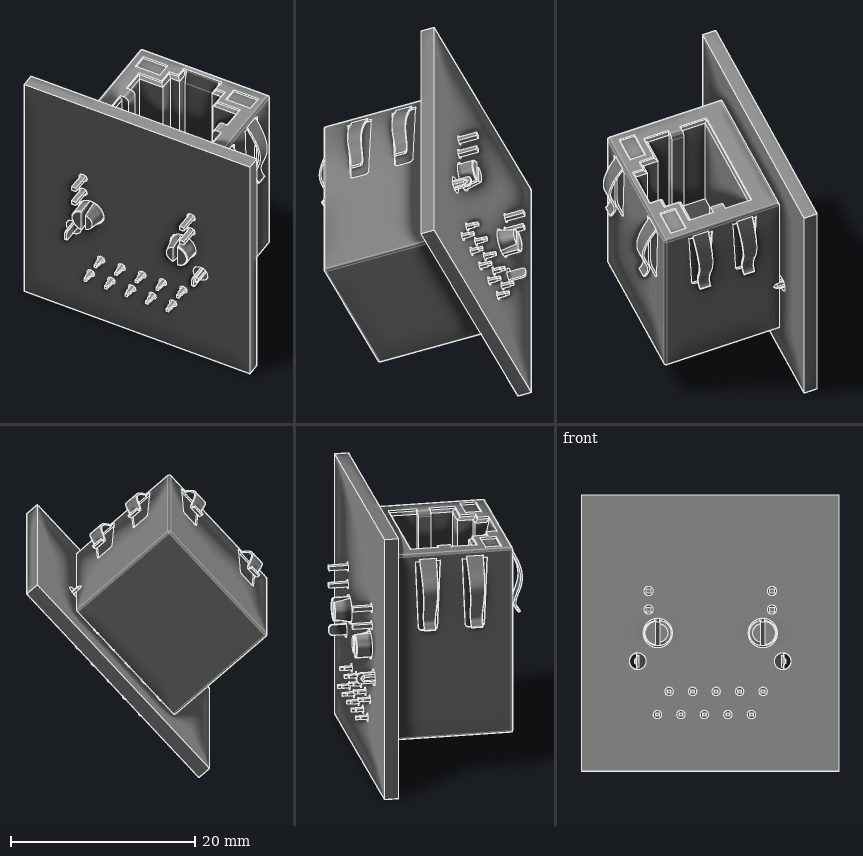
import cadquery as cq


BOARD_WIDTH = 28.0
BOARD_HEIGHT = 30.0
BOARD_THICKNESS = 1.55

BOARD_GAP = 0.3
SHELL_WIDTH = 16.0
SHELL_DEPTH = 13.55
SHELL_TOP = 10.85
SHELL_BOTTOM = -10.47
SHELL_EDGE_RADIUS = 0.25
SHEET_THICKNESS = 0.25
SHELL_FRONT = BOARD_THICKNESS + BOARD_GAP
SHELL_BACK = SHELL_FRONT + SHELL_DEPTH
SHELL_SIDE = SHELL_WIDTH / 2

CAVITY_DEPTH = 13.5
CAVITY_HALF_WIDTH = 6.0
SHOULDER_HALF_WIDTH = 3.12
NOTCH_HALF_WIDTH = 2.0
CAVITY_FRONT = 4.68
CAVITY_BACK = 11.45
SHOULDER_BACK = 13.2
NOTCH_BACK = 14.43
WALL_LEAD_IN = 0.25
STEP_LEAD_IN = 0.33
LEAD_IN_HEIGHT = 0.3
NOTCH_RAMP_HEIGHT = 1.5

RIB_FRONT = 7.53
RIB_WIDTH = 1.4
RIB_HALF_GAP = 5.2
RIB_ROUND = 0.57

WINDOW_X = 5.6
WINDOW_FRONT = 12.55
WINDOW_WIDTH = 3.03
WINDOW_DEPTH = 1.77

SIDE_FINGER_YS = (6.0, 11.2)
BACK_FINGER_X = 4.62
FINGER_THICKNESS = 0.2
FINGER_ROOT_Z = 10.1
FINGER_TIP_Z = 2.43
FINGER_ROOT_WIDTH = 1.85
FINGER_TIP_WIDTH = 1.2
FINGER_PATH = [
    (-0.18, 10.32),
    (1.2, 7.75),
    (1.45, 6.33),
    (1.25, 5.25),
    (0.75, 3.55),
    (1.25, FINGER_TIP_Z),
]
SLOT_TOP_Z = 9.95
SLOT_BOTTOM_Z = 2.05
SLOT_TOP_WIDTH = 2.75
SLOT_BOTTOM_WIDTH = 2.1
SLOT_CORNER_RADIUS = 0.42

LED_PIN_X = 6.7
LED_PIN_ZS = (2.55, 4.55)
LED_PIN_WIDTH = 0.55
LED_PIN_HEIGHT = 0.48
LED_PIN_REACH = 2.1
LED_HOLE_DIAMETER = 1.0

PIN_COUNT_PER_ROW = 5
PIN_PITCH = 2.55
PIN_STAGGER = PIN_PITCH / 2
UPPER_ROW_Z = -6.33
LOWER_ROW_Z = -8.85
PIN_WIDTH = 0.45
PIN_TIP_WIDTH = 0.3
PIN_HEIGHT = 0.33
PIN_SHOULDER_REACH = 0.75
PIN_SHOULDER_LENGTH = 0.12
PIN_REACH = 1.3
PIN_HOLE_DIAMETER = 0.9

POST_X = 5.7
POST_RADIUS = 1.35
POST_HALF_SHIFT = 0.12
POST_SLOT_WIDTH = 0.5
POST_REACH = 1.75
POST_TIP_RADIUS = 1.0
POST_TIP_CHAMFER = 0.1
POST_HOLE_DIAMETER = 3.18

TAB_Z = -3.05
TAB_HEIGHT = 1.2
TAB_REACH = 1.83
TAB_CORNER_RADIUS = 0.4
TAB_HOLE_X = 7.85
TAB_HOLE_DIAMETER = 1.8
BEAD_START = 2.6
BEAD_END = -1.47
BEAD_HEIGHT = 0.78
BEAD_POINT_LENGTH = 0.33
BEAD_RISE = 0.2
BEAD_TAPER_ANGLE = 45

LOWER_STANDOFF_HALF_WIDTH = 6.0
LOWER_STANDOFF_BOTTOM = -7.92
LOWER_STANDOFF_HEIGHT = 0.7
PAD_X = 5.7
PAD_WIDTH = 0.75
PAD_BOTTOM = 1.2
PAD_TOP = 6.5
PAD_CHAMFER = 0.18

EMBED = 0.3
SIDES = (-1, 1)


def block(x_range, y_range, z_range):
    """Box between the given limits on each axis."""
    (x0, x1), (y0, y1), (z0, z1) = x_range, y_range, z_range
    size = (x1 - x0, y1 - y0, z1 - z0)
    return cq.Workplane("XY").box(*size, centered=False).translate((x0, y0, z0))


def pin_row(z, direction):
    """Points of one signal pin row, shifted half a stagger toward `direction`."""
    middle = (PIN_COUNT_PER_ROW - 1) / 2
    shift = direction * PIN_STAGGER / 2
    return [((i - middle) * PIN_PITCH + shift, z) for i in range(PIN_COUNT_PER_ROW)]


SIGNAL_PIN_POINTS = pin_row(UPPER_ROW_Z, 1) + pin_row(LOWER_ROW_Z, -1)
LED_PIN_POINTS = [(side * LED_PIN_X, z) for side in SIDES for z in LED_PIN_ZS]
POST_POINTS = [(side * POST_X, 0) for side in SIDES]
TAB_HOLE_POINTS = [(side * TAB_HOLE_X, TAB_Z) for side in SIDES]


def make_board():
    board = block(
        (-BOARD_WIDTH / 2, BOARD_WIDTH / 2),
        (0, BOARD_THICKNESS),
        (-BOARD_HEIGHT / 2, BOARD_HEIGHT / 2),
    )
    hole_groups = [
        (LED_PIN_POINTS, LED_HOLE_DIAMETER),
        (SIGNAL_PIN_POINTS, PIN_HOLE_DIAMETER),
        (POST_POINTS, POST_HOLE_DIAMETER),
        (TAB_HOLE_POINTS, TAB_HOLE_DIAMETER),
    ]
    for points, diameter in hole_groups:
        holes = cq.Workplane("XZ").pushPoints(points).circle(diameter / 2).extrude(-BOARD_THICKNESS)
        board = board.cut(holes)
    return board


def make_shell():
    shell = block((-SHELL_SIDE, SHELL_SIDE), (SHELL_FRONT, SHELL_BACK), (SHELL_BOTTOM, SHELL_TOP))
    return shell.edges(">Z or (>Y and |Z) or (<Z and |Y) or (<Z and >Y)").fillet(SHELL_EDGE_RADIUS)


def opening_outline(z, wall_offset, step_offset):
    """Stepped plug outline at height z, widened at its long walls and at its steps."""
    right_half = [
        (CAVITY_HALF_WIDTH + wall_offset, CAVITY_FRONT - wall_offset),
        (CAVITY_HALF_WIDTH + wall_offset, CAVITY_BACK + step_offset),
        (SHOULDER_HALF_WIDTH + step_offset, CAVITY_BACK + step_offset),
        (SHOULDER_HALF_WIDTH + step_offset, SHOULDER_BACK + step_offset),
        (NOTCH_HALF_WIDTH + step_offset, SHOULDER_BACK + step_offset),
        (NOTCH_HALF_WIDTH + step_offset, NOTCH_BACK + step_offset),
    ]
    left_half = [(-x, y) for x, y in reversed(right_half)]
    return cq.Workplane("XY").workplane(offset=z).polyline(right_half + left_half).close()


def plug_cavity():
    """Plug opening: sheet cut-out, chamfered lead-in, straight cavity and notch ramp."""
    sheet_bottom = SHELL_TOP - SHEET_THICKNESS
    lead_in_bottom = sheet_bottom - LEAD_IN_HEIGHT
    sheet_cut = opening_outline(sheet_bottom, WALL_LEAD_IN, STEP_LEAD_IN).extrude(SHEET_THICKNESS)
    lead_in = cq.Workplane(
        cq.Solid.makeLoft(
            [
                opening_outline(lead_in_bottom, 0, 0).wire().val(),
                opening_outline(sheet_bottom, WALL_LEAD_IN, STEP_LEAD_IN).wire().val(),
            ],
            True,
        )
    )
    straight = opening_outline(SHELL_TOP - CAVITY_DEPTH, 0, 0).extrude(CAVITY_DEPTH)
    ramp = (
        cq.Workplane("YZ")
        .polyline(
            [
                (NOTCH_BACK, sheet_bottom),
                (NOTCH_BACK + STEP_LEAD_IN, sheet_bottom),
                (NOTCH_BACK, sheet_bottom - NOTCH_RAMP_HEIGHT),
            ]
        )
        .close()
        .extrude(NOTCH_HALF_WIDTH, both=True)
    )
    return straight.union(sheet_cut).union(lead_in).union(ramp)


def contact_rib(side):
    """Upright rib on a cavity wall, rounded where it meets the top face."""
    rib = block(
        (RIB_HALF_GAP, CAVITY_HALF_WIDTH + EMBED),
        (RIB_FRONT, RIB_FRONT + RIB_WIDTH),
        (SHELL_TOP - CAVITY_DEPTH, SHELL_TOP),
    )
    rib = rib.edges("<X and >Z").fillet(RIB_ROUND)
    return rib if side > 0 else rib.mirror("YZ")


def indicator_window(side):
    """Shallow cut through the top sheet over an indicator light."""
    x = side * WINDOW_X
    return block(
        (x - WINDOW_WIDTH / 2, x + WINDOW_WIDTH / 2),
        (WINDOW_FRONT, WINDOW_FRONT + WINDOW_DEPTH),
        (SHELL_TOP - SHEET_THICKNESS, SHELL_TOP),
    )


def trapezoid_prism(top_z, bottom_z, top_width, bottom_width, x_start, x_end):
    return (
        cq.Workplane("YZ")
        .workplane(offset=x_start)
        .polyline(
            [
                (-top_width / 2, top_z),
                (top_width / 2, top_z),
                (bottom_width / 2, bottom_z),
                (-bottom_width / 2, bottom_z),
            ]
        )
        .close()
        .extrude(x_end - x_start)
    )


def finger_slot():
    slot = trapezoid_prism(
        SLOT_TOP_Z, SLOT_BOTTOM_Z, SLOT_TOP_WIDTH, SLOT_BOTTOM_WIDTH, -SHEET_THICKNESS, 0
    )
    return slot.edges("|X and <Z").fillet(SLOT_CORNER_RADIUS)


def spring_finger():
    """Wavy sheet strip that leaves the face at its root and tapers to its tip."""
    path = cq.Workplane("XZ").spline(FINGER_PATH)
    (x0, z0), (x1, z1) = FINGER_PATH[:2]
    start_plane = cq.Plane(origin=(x0, 0, z0), xDir=(0, 1, 0), normal=(x1 - x0, 0, z1 - z0))
    strip = cq.Workplane(start_plane).rect(2 * FINGER_ROOT_WIDTH, FINGER_THICKNESS).sweep(path)
    reach = max(x for x, z in FINGER_PATH) + EMBED
    taper = trapezoid_prism(
        FINGER_ROOT_Z + EMBED,
        FINGER_TIP_Z - EMBED,
        FINGER_ROOT_WIDTH,
        FINGER_TIP_WIDTH,
        -2 * EMBED,
        reach,
    )
    return strip.intersect(taper)


def place_on_shell_faces(feature):
    """Copies of a finger feature on both shell sides and on the shell back."""
    copies = []
    for y in SIDE_FINGER_YS:
        right = feature.translate((SHELL_SIDE, y, 0))
        copies += [right, right.mirror("YZ")]
    on_back = feature.rotate((0, 0, 0), (0, 0, 1), 90)
    for side in SIDES:
        copies.append(on_back.translate((side * BACK_FINGER_X, SHELL_BACK, 0)))
    return copies


def led_pin(x, z):
    return block(
        (x - LED_PIN_WIDTH / 2, x + LED_PIN_WIDTH / 2),
        (-LED_PIN_REACH, SHELL_FRONT + EMBED),
        (z - LED_PIN_HEIGHT / 2, z + LED_PIN_HEIGHT / 2),
    )


def signal_pin(x, z):
    """Flat pin whose tip is narrowed by two sloping shoulders."""
    right_edge = [
        (PIN_WIDTH / 2, SHELL_FRONT + EMBED),
        (PIN_WIDTH / 2, -PIN_SHOULDER_REACH),
        (PIN_TIP_WIDTH / 2, -PIN_SHOULDER_REACH - PIN_SHOULDER_LENGTH),
        (PIN_TIP_WIDTH / 2, -PIN_REACH),
    ]
    left_edge = [(-px, py) for px, py in reversed(right_edge)]
    pin = cq.Workplane("XY").polyline(right_edge + left_edge).close()
    return pin.extrude(PIN_HEIGHT / 2, both=True).translate((x, 0, z))


def snap_post(side):
    """Post split by a round-bottomed slot; the half nearer the middle tapers to its tip."""
    root_y = SHELL_FRONT + EMBED
    far = 2 * POST_RADIUS
    y_range = (-POST_REACH, root_y)
    z_range = (-far, far)
    outer = cq.Workplane("XZ", origin=(POST_HALF_SHIFT, root_y, 0)).circle(POST_RADIUS)
    outer = outer.extrude(root_y + POST_REACH).edges("<Y").chamfer(POST_TIP_CHAMFER)
    outer = outer.intersect(block((0, far), y_range, z_range))
    inner = cq.Workplane("XZ", origin=(-POST_HALF_SHIFT, root_y, 0)).circle(POST_RADIUS)
    inner = inner.extrude(root_y)
    cone = cq.Solid.makeCone(
        POST_RADIUS,
        POST_TIP_RADIUS,
        POST_REACH,
        pnt=cq.Vector(-POST_HALF_SHIFT, 0, 0),
        dir=cq.Vector(0, -1, 0),
    )
    inner = inner.union(cq.Workplane(cone)).intersect(block((-far, 0), y_range, z_range))
    slot_radius = POST_SLOT_WIDTH / 2
    slot_floor = SHELL_FRONT
    slot = block((-slot_radius, slot_radius), (-POST_REACH, slot_floor - slot_radius), z_range)
    slot_end = (
        cq.Workplane("XY")
        .center(0, slot_floor - slot_radius)
        .circle(slot_radius)
        .extrude(far, both=True)
    )
    post = outer.union(inner).cut(slot).cut(slot_end).translate((POST_X, 0, 0))
    return post if side > 0 else post.mirror("YZ")


def grounding_tab(side):
    """Side sheet tongue with a raised pointed bead on its outer face."""
    tab = block(
        (SHELL_SIDE - SHEET_THICKNESS, SHELL_SIDE),
        (-TAB_REACH, SHELL_FRONT + EMBED),
        (TAB_Z - TAB_HEIGHT / 2, TAB_Z + TAB_HEIGHT / 2),
    )
    tab = tab.edges("|X and <Y").fillet(TAB_CORNER_RADIUS)
    half_height = BEAD_HEIGHT / 2
    bead = (
        cq.Workplane("YZ", origin=(SHELL_SIDE, 0, TAB_Z))
        .polyline(
            [
                (BEAD_START, 0),
                (BEAD_START - BEAD_POINT_LENGTH, half_height),
                (BEAD_END + BEAD_POINT_LENGTH, half_height),
                (BEAD_END, 0),
                (BEAD_END + BEAD_POINT_LENGTH, -half_height),
                (BEAD_START - BEAD_POINT_LENGTH, -half_height),
            ]
        )
        .close()
        .extrude(BEAD_RISE, taper=BEAD_TAPER_ANGLE)
    )
    tab = tab.union(bead)
    return tab if side > 0 else tab.mirror("YZ")


def lower_standoff():
    return block(
        (-LOWER_STANDOFF_HALF_WIDTH, LOWER_STANDOFF_HALF_WIDTH),
        (BOARD_THICKNESS, SHELL_FRONT + EMBED),
        (LOWER_STANDOFF_BOTTOM, LOWER_STANDOFF_BOTTOM + LOWER_STANDOFF_HEIGHT),
    )


def upper_pad(side):
    """Narrow upright pad with chamfered long edges toward the board."""
    x = side * PAD_X
    pad = block(
        (x - PAD_WIDTH / 2, x + PAD_WIDTH / 2),
        (BOARD_THICKNESS, SHELL_FRONT + EMBED),
        (PAD_BOTTOM, PAD_TOP),
    )
    return pad.edges("<Y and |Z").chamfer(PAD_CHAMFER)


def make_socket():
    socket = make_shell().cut(plug_cavity())
    for slot in place_on_shell_faces(finger_slot()):
        socket = socket.cut(slot)
    for finger in place_on_shell_faces(spring_finger()):
        socket = socket.union(finger)
    for side in SIDES:
        socket = socket.cut(indicator_window(side))
        for feature in (contact_rib, snap_post, grounding_tab, upper_pad):
            socket = socket.union(feature(side))
    for x, z in LED_PIN_POINTS:
        socket = socket.union(led_pin(x, z))
    for x, z in SIGNAL_PIN_POINTS:
        socket = socket.union(signal_pin(x, z))
    return socket.union(lower_standoff())


board = make_board()
socket = make_socket()
result = cq.Compound.makeCompound([board.solids().val(), socket.solids().val()])